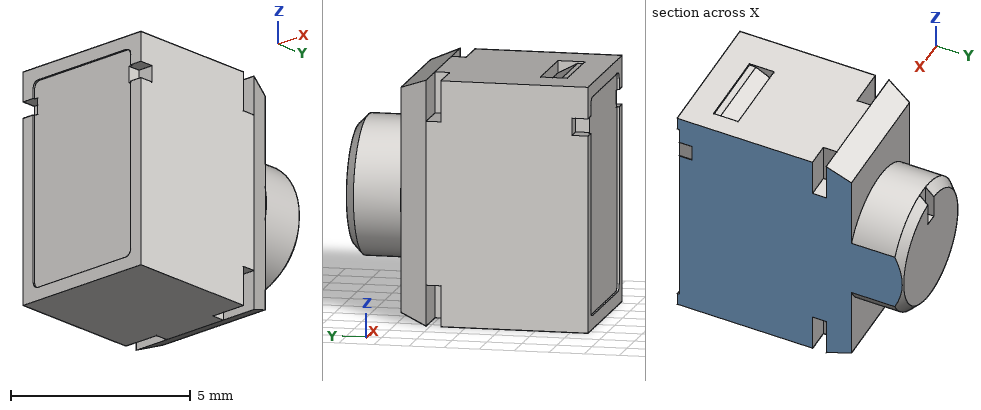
import cadquery as cq

width = 4.5
height = 7.01
total_depth = 7.01

button_diameter = 3.99
button_length = 1.605
button_chamfer = 0.26
pointer_width = 0.38
pointer_length = 1.0

taper_length = 0.785
taper_inset = 0.3

body_depth = total_depth - button_length - taper_length
collar_back = body_depth + taper_length

corner_notch_size = 1.17
corner_notch_depth = 0.42

recess_margin = 0.39
recess_radius = 0.2
recess_depth = 0.06

side_slot_from_top = 0.9
side_slot_height = 0.49
side_slot_width = 0.5
side_slot_depth = 0.46

groove_width = 2.3
groove_front = 0.83
ledge_length = 0.2
ramp_length = 0.565
ledge_depth = 0.05
groove_depth = 0.35


def block(size_x, size_y, size_z, center_x, front_y, center_z):
    """Box centred on X and Z that runs back from front_y."""
    start = cq.Workplane("XY", origin=(center_x, front_y, center_z))
    return start.box(size_x, size_y, size_z, centered=(True, False, True))


def make_housing():
    body = block(width, body_depth, height, 0, 0, 0)
    back_plane = cq.Workplane("XZ", origin=(0, body_depth, 0))
    collar = (
        back_plane.rect(width, height)
        .workplane(offset=-taper_length)
        .rect(width - 2 * taper_inset, height - 2 * taper_inset)
        .loft(ruled=True)
    )
    return body.union(collar)


def make_button():
    button = (
        cq.Workplane("XZ", origin=(0, collar_back, 0))
        .circle(button_diameter / 2)
        .extrude(-button_length)
        .faces(">Y")
        .chamfer(button_chamfer)
    )
    notch_center_z = (button_diameter - pointer_length) / 2
    notch_front = total_depth - button_chamfer
    notch = block(pointer_width, button_chamfer, pointer_length, 0, notch_front, notch_center_z)
    return button.cut(notch)


def corner_notches():
    notches = cq.Workplane("XY")
    notch_front = body_depth - corner_notch_depth
    for side_x in (-1, 1):
        for side_z in (-1, 1):
            center_x = side_x * (width - corner_notch_size) / 2
            center_z = side_z * (height - corner_notch_size) / 2
            notch = block(
                corner_notch_size, corner_notch_depth, corner_notch_size, center_x, notch_front, center_z
            )
            notches = notches.add(notch)
    return notches.combine()


def front_recess():
    recess_width = width - 2 * recess_margin
    recess_height = height - 2 * recess_margin
    recess = block(recess_width, recess_depth, recess_height, 0, 0, 0)
    return recess.edges("|Y").fillet(recess_radius)


def side_slot(side_x):
    center_x = side_x * (width - side_slot_width) / 2
    center_z = height / 2 - side_slot_from_top - side_slot_height / 2
    return block(side_slot_width, side_slot_depth, side_slot_height, center_x, 0, center_z)


def top_groove():
    top = height / 2
    ramp_front = groove_front + ledge_length
    groove_back = ramp_front + ramp_length
    return (
        cq.Workplane("YZ")
        .moveTo(groove_front, top)
        .lineTo(groove_front, top - ledge_depth)
        .lineTo(ramp_front, top - ledge_depth)
        .lineTo(groove_back, top - groove_depth)
        .lineTo(groove_back, top)
        .close()
        .extrude(groove_width / 2, both=True)
    )


housing = make_housing().cut(corner_notches()).cut(front_recess()).cut(top_groove())
for side in (-1, 1):
    housing = housing.cut(side_slot(side))

result = housing.union(make_button())